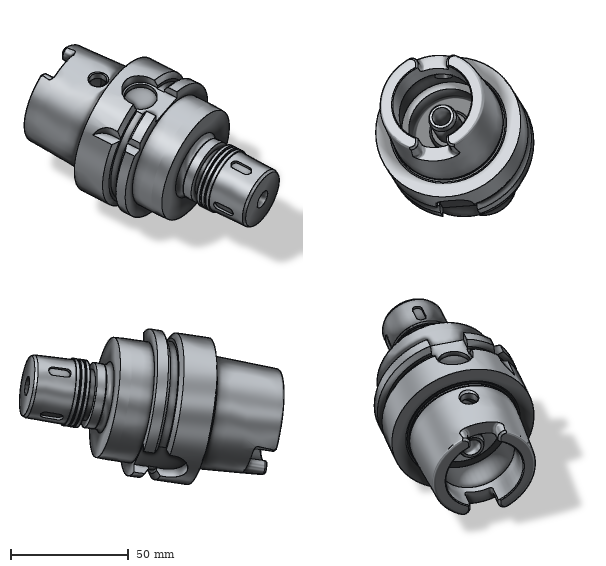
import cadquery as cq
import math

total_length = 107.0

flange_x = 32.0
shank_end_radius = 22.7
shank_big_radius = 24.3
shank_taper_end_x = 30.0
shank_end_fillet = 1.2
relief_start_x = 30.6
relief_end_x = 31.6
relief_radius = 24.1
undercut_depth = 0.4
undercut_root_radius = 23.8
undercut_floor_radius = 24.6
undercut_rim_radius = 25.4

flange_radius = 63.0 / 2
flange_end_x = 58.0
groove_start_x = 46.4
groove_end_x = 53.3
groove_side_length = 1.6
groove_lip_radius = 29.0
groove_floor_radius = 27.6

body_radius = 26.0
body_taper_x = 67.8
body_end_x = 72.9
body_end_radius = 25.8
neck_radius = 13.8
neck_fillet = 3.3
neck_fillet_end_x = 75.6
shoulder_start_x = 76.0
shoulder_end_x = 79.9
shoulder_radius = 14.0
waist_radius = 22.0 / 2

nut_start_x = 82.9
ring_end_x = 89.1
ring_radius = 29.0 / 2
ring_chamfer = 0.3
ring_groove_positions = [85.0, 87.2]
ring_groove_width = 0.9
ring_groove_floor_width = 0.3
ring_groove_depth = 0.5
nut_radius = 13.9
nut_chamfer_x = 105.7
nut_front_radius = 13.5
nut_end_radius = 12.8
nut_slot_center_x = 96.2
nut_slot_length = 9.7
nut_slot_width = 4.3
nut_slot_floor_radius = 12.4
nut_slot_count = 4

bore_radius = 17.1
bore_mouth_chamfer = 0.4
chamber_cone_x = 13.2
chamber_cone_angle = 60.0
chamber_radius = 20.0
chamber_end_x = 31.2
bore_end_radius = 16.9
bore_floor_x = 40.7
bore_floor_fillet = 1.3

collar_radius = 18.0 / 2
collar_tip_radius = 15.8 / 2
collar_start_x = 35.3
tube_radius = 12.0 / 2
tube_tip_radius = 10.5 / 2
tube_start_x = 18.7
tube_cone_end_x = 21.1
through_diameter = 8.0

keyway_half_width = 6.2
keyway_ledge_height = 20.8
keyway_flare_radius = 3.0
keyway_reach = 12.8
keyway_height = 27.8
keyway_mouth_chamfer = 1.0
keyway_floor_fillet = 1.6
upper_keyway_depth = 6.0
lower_keyway_depth = 10.0

cross_hole_x = 23.0
cross_hole_diameter = 7.5
cross_hole_rim_diameter = 9.0

cutter_radius = 8.0
slot_cutter_x = 44.8
slot_floor_height = 26.5
pocket_diameter = 14.0
pocket_depth = 2.1
notch_cutter_x = 43.9
notch_offset = 20.0
cut_clearance = 1.1


def shank_radius_at(x):
    """Radius of the tapered shank at position x."""
    slope = (shank_big_radius - shank_end_radius) / shank_taper_end_x
    return shank_end_radius + slope * x


def revolve_about_axis(profile):
    return profile.close().revolve(360, (0, 0, 0), (1, 0, 0))


def make_outside():
    """Solid of revolution: shank, flange, body, neck and nut."""
    fillet_center_radius = neck_radius + neck_fillet
    neck_root_radius = fillet_center_radius - math.sqrt(
        neck_fillet**2 - (neck_fillet_end_x - body_end_x) ** 2
    )
    profile = (
        cq.Workplane("XY")
        .moveTo(0, 0)
        .lineTo(0, shank_end_radius)
        .lineTo(shank_taper_end_x, shank_big_radius)
        .lineTo(relief_start_x, relief_radius)
        .lineTo(relief_end_x, relief_radius)
        .lineTo(flange_x + undercut_depth, undercut_root_radius)
        .lineTo(flange_x + undercut_depth, undercut_floor_radius)
        .lineTo(flange_x, undercut_rim_radius)
        .lineTo(flange_x, flange_radius)
        .lineTo(groove_start_x, flange_radius)
        .lineTo(groove_start_x + groove_side_length, groove_lip_radius)
        .lineTo(groove_start_x + groove_side_length, groove_floor_radius)
        .lineTo(groove_end_x - groove_side_length, groove_floor_radius)
        .lineTo(groove_end_x - groove_side_length, groove_lip_radius)
        .lineTo(groove_end_x, flange_radius)
        .lineTo(flange_end_x, flange_radius)
        .lineTo(flange_end_x, body_radius)
        .lineTo(body_taper_x, body_radius)
        .lineTo(body_end_x, body_end_radius)
        .lineTo(body_end_x, neck_root_radius)
        .radiusArc((neck_fillet_end_x, neck_radius), -neck_fillet)
        .lineTo(shoulder_start_x, shoulder_radius)
        .lineTo(shoulder_end_x, shoulder_radius)
        .lineTo(shoulder_end_x, waist_radius)
        .lineTo(nut_start_x, waist_radius)
        .lineTo(nut_start_x, ring_radius - ring_chamfer)
        .lineTo(nut_start_x + ring_chamfer, ring_radius)
        .lineTo(ring_end_x, ring_radius)
        .lineTo(ring_end_x, nut_radius)
        .lineTo(nut_chamfer_x, nut_front_radius)
        .lineTo(total_length, nut_end_radius)
        .lineTo(total_length, 0)
    )
    return revolve_about_axis(profile).faces("<X").edges().fillet(shank_end_fillet)


def make_bore():
    """Bore with its clamping chamber, leaving the collar and the coolant tube standing."""
    cone_length = (chamber_radius - bore_radius) / math.tan(math.radians(chamber_cone_angle))
    collar_chamfer = collar_radius - collar_tip_radius
    profile = (
        cq.Workplane("XY")
        .moveTo(0, 0)
        .lineTo(0, bore_radius + bore_mouth_chamfer)
        .lineTo(bore_mouth_chamfer, bore_radius)
        .lineTo(chamber_cone_x, bore_radius)
        .lineTo(chamber_cone_x + cone_length, chamber_radius)
        .lineTo(chamber_end_x, chamber_radius)
        .lineTo(chamber_end_x, bore_end_radius)
        .lineTo(bore_floor_x - bore_floor_fillet, bore_end_radius)
        .radiusArc((bore_floor_x, bore_end_radius - bore_floor_fillet), bore_floor_fillet)
        .lineTo(bore_floor_x, collar_radius)
        .lineTo(collar_start_x + collar_chamfer, collar_radius)
        .lineTo(collar_start_x, collar_tip_radius)
        .lineTo(collar_start_x, tube_radius)
        .lineTo(tube_cone_end_x, tube_radius)
        .lineTo(tube_start_x, tube_tip_radius)
        .lineTo(tube_start_x, 0)
    )
    return revolve_about_axis(profile)


def make_ring_groove(x):
    """Groove with sloping sides around the ring of the nut."""
    profile = (
        cq.Workplane("XY")
        .moveTo(x - ring_groove_width / 2, ring_radius)
        .lineTo(x - ring_groove_floor_width / 2, ring_radius - ring_groove_depth)
        .lineTo(x + ring_groove_floor_width / 2, ring_radius - ring_groove_depth)
        .lineTo(x + ring_groove_width / 2, ring_radius)
    )
    return revolve_about_axis(profile)


def keyway_outline(plane, growth):
    """Keyway cross-section on a YZ plane, grown outward by the given amount."""
    half_width = keyway_half_width + growth
    ledge = keyway_ledge_height - growth
    flare = keyway_flare_radius - growth
    return (
        plane.moveTo(-half_width, 0)
        .lineTo(half_width, 0)
        .lineTo(half_width, ledge - flare)
        .radiusArc((half_width + flare, ledge), flare)
        .lineTo(keyway_reach, ledge)
        .lineTo(keyway_reach, keyway_height)
        .lineTo(-keyway_reach, keyway_height)
        .lineTo(-keyway_reach, ledge)
        .lineTo(-half_width - flare, ledge)
        .radiusArc((-half_width, ledge - flare), flare)
        .close()
    )


def make_keyway(depth):
    """Cutter for the keyway on the +Z side, with its flared sides and chamfered mouth."""
    channel = keyway_outline(cq.Workplane("YZ"), 0).extrude(depth)
    channel = channel.faces(">X").edges().fillet(keyway_floor_fillet)
    mouth = keyway_outline(cq.Workplane("YZ"), keyway_mouth_chamfer)
    mouth = keyway_outline(mouth.workplane(offset=keyway_mouth_chamfer), 0).loft(ruled=True)
    return channel.union(mouth)


def make_cross_hole():
    """Radial hole from +Z into the bore, with a 45 degree countersink."""
    rim_height = shank_radius_at(cross_hole_x)
    rim_radius = cross_hole_rim_diameter / 2
    cone_top_radius = rim_radius + cut_clearance
    hole = cq.Workplane("XY", origin=(cross_hole_x, 0, (chamber_radius + collar_radius) / 2))
    hole = hole.circle(cross_hole_diameter / 2).extrude(shank_big_radius)
    cone_tip = cq.Vector(cross_hole_x, 0, rim_height - rim_radius)
    cone = cq.Solid.makeCone(0, cone_top_radius, cone_top_radius, cone_tip)
    return hole.union(cq.Workplane(cone))


def make_flange_slot(center_x, center_y, floor_height):
    """Vertical milling cut with a round end, open toward the back of the flange."""
    height = flange_radius + cut_clearance - floor_height
    run = flange_end_x - center_x
    slot = cq.Workplane("XY", origin=(center_x, center_y, floor_height))
    straight = slot.center(run / 2, 0).rect(run, 2 * cutter_radius).extrude(height)
    return slot.circle(cutter_radius).extrude(height).union(straight)


def make_nut_slot():
    slot = cq.Workplane("XY", origin=(nut_slot_center_x, 0, nut_slot_floor_radius))
    return slot.slot2D(nut_slot_length, nut_slot_width).extrude(ring_radius)


axis_start = (0, 0, 0)
axis_end = (1, 0, 0)

result = make_outside().cut(make_bore())
through_hole = cq.Workplane("YZ").circle(through_diameter / 2).extrude(total_length)
result = result.cut(through_hole)

for groove_x in ring_groove_positions:
    result = result.cut(make_ring_groove(groove_x))

result = result.cut(make_keyway(upper_keyway_depth))
result = result.cut(make_keyway(lower_keyway_depth).rotate(axis_start, axis_end, 180))

result = result.cut(make_cross_hole())

drive_slot = make_flange_slot(slot_cutter_x, 0, slot_floor_height)
result = result.cut(drive_slot).cut(drive_slot.rotate(axis_start, axis_end, 180))
pocket = cq.Workplane("XY", origin=(slot_cutter_x, 0, slot_floor_height - pocket_depth))
result = result.cut(pocket.circle(pocket_diameter / 2).extrude(pocket_depth))

notch_y = -notch_offset - cutter_radius
result = result.cut(make_flange_slot(notch_cutter_x, notch_y, notch_offset))

for i in range(nut_slot_count):
    turn = 360 / nut_slot_count * i
    result = result.cut(make_nut_slot().rotate(axis_start, axis_end, turn))